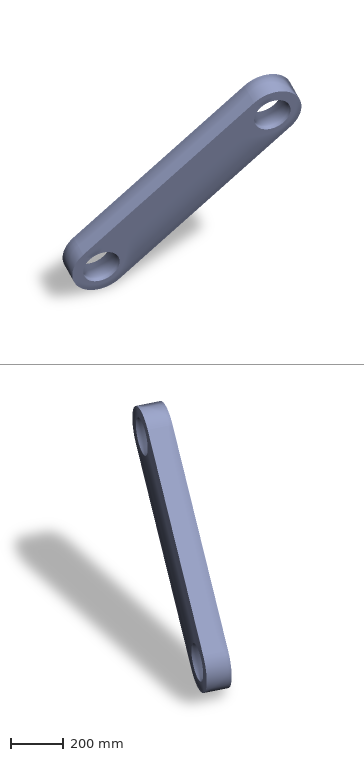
import cadquery as cq
import math

thickness = 100.0
end_radius = 120.0
bore_diameter = 150.0
pin_offset_y = 705.01
pin_offset_z = 563.54

pin_spacing = math.hypot(pin_offset_y, pin_offset_z)
tilt_angle = math.degrees(math.atan2(pin_offset_z, pin_offset_y))
link_length = pin_spacing + 2 * end_radius
pin_centres = [
    (-pin_offset_y / 2, -pin_offset_z / 2),
    (pin_offset_y / 2, pin_offset_z / 2),
]


def link_body():
    """Flat bar with full-round ends, rising toward +Y and centred on the origin."""
    return (
        cq.Workplane("YZ")
        .slot2D(link_length, 2 * end_radius, tilt_angle)
        .extrude(thickness / 2, both=True)
    )


def pin_bores():
    """Cylinders through the full thickness, concentric with the rounded ends."""
    return (
        cq.Workplane("YZ")
        .pushPoints(pin_centres)
        .circle(bore_diameter / 2)
        .extrude(thickness / 2, both=True)
    )


result = link_body().cut(pin_bores())